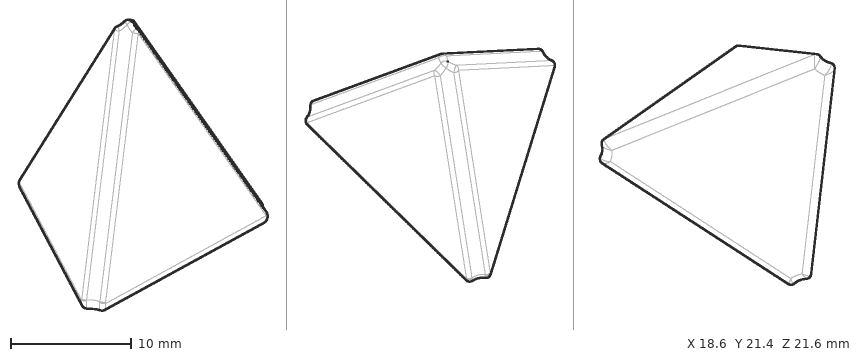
import cadquery as cq
import math

sharp_height = 25.08
base_inradius = 7.0
base_circumradius = 2 * base_inradius

groove_radius = 1.8
groove_half_width = 0.85

rim_fillet = 0.39
base_fillet = 0.8

side_edge_count = 3
first_edge_angle = 60
side_edge_angles = [first_edge_angle + i * 360 / side_edge_count for i in range(side_edge_count)]


def make_pyramid():
    """Pyramid with an equilateral base on Z = 0 and its apex on the Z axis."""
    corners = [
        cq.Vector(
            base_circumradius * math.cos(math.radians(angle)),
            base_circumradius * math.sin(math.radians(angle)),
            0,
        )
        for angle in side_edge_angles
    ]
    apex = cq.Vector(0, 0, sharp_height)
    outlines = [corners]
    for i, corner in enumerate(corners):
        outlines.append([corner, corners[(i + 1) % side_edge_count], apex])
    faces = [
        cq.Face.makeFromWires(cq.Wire.makePolygon(outline, close=True))
        for outline in outlines
    ]
    return cq.Workplane(cq.Solid.makeSolid(cq.Shell.makeShell(faces)))


def make_groove_cutter(angle):
    """Cylinder parallel to one sloping edge."""
    edge_slope = math.atan2(sharp_height, base_circumradius)
    face_slope = math.atan2(sharp_height, base_inradius)
    normal_angle = math.asin(math.sin(face_slope) * math.sin(math.pi / side_edge_count))
    rim_depth = groove_half_width * math.tan(normal_angle)
    axis_offset = math.sqrt(groove_radius**2 - groove_half_width**2) - rim_depth
    axis_base_radius = base_circumradius + axis_offset / math.sin(edge_slope)
    direction = cq.Vector(-math.cos(edge_slope), 0, math.sin(edge_slope))
    start = cq.Vector(axis_base_radius, 0, 0) - direction * sharp_height
    cutter = cq.Solid.makeCylinder(groove_radius, 3 * sharp_height, start, direction)
    return cutter.rotate(cq.Vector(0, 0, 0), cq.Vector(0, 0, 1), angle)


body = make_pyramid()
for edge_angle in side_edge_angles:
    body = body.cut(cq.Workplane(make_groove_cutter(edge_angle)))

body = body.faces("<Z").edges().fillet(base_fillet)

rim_zone = cq.selectors.BoxSelector(
    (-base_circumradius, -base_circumradius, 2 * base_fillet),
    (base_circumradius, base_circumradius, sharp_height),
)
result = body.edges(rim_zone).fillet(rim_fillet)